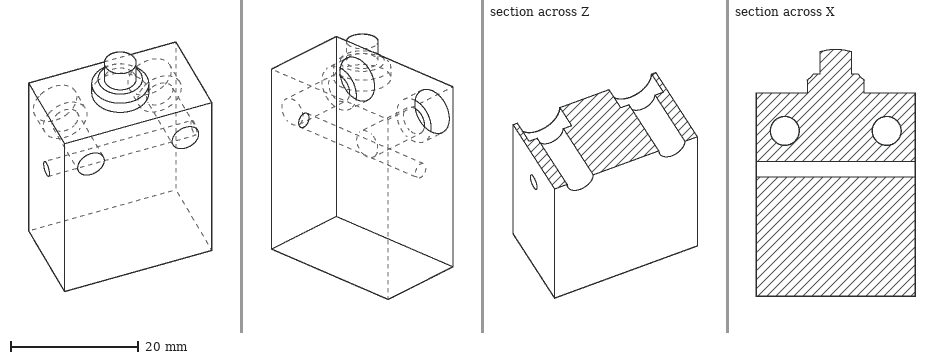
import cadquery as cq

body_width = 15.0
body_depth = 25.0
body_height = 32.0

collar_diameter = 9.0
collar_height = 3.0
collar_chamfer = 1.0

plunger_diameter = 5.0
total_height = 38.88
dome_height = 0.4

mount_diameter = 4.5
counterbore_diameter = 7.4
counterbore_depth = 4.2
mount_spacing = 16.0
mount_height = 26.0

cross_diameter = 2.4
cross_height = 20.0


def make_body():
    """Block standing on Z = 0, centred on the Z axis."""
    return cq.Workplane("XY").box(body_width, body_depth, body_height, centered=(True, True, False))


def make_collar():
    """Short cylinder on top of the block with a chamfered upper rim."""
    top_face = cq.Workplane("XY", origin=(0, 0, body_height))
    collar = top_face.circle(collar_diameter / 2).extrude(collar_height)
    return collar.faces(">Z").chamfer(collar_chamfer)


def make_plunger():
    """Pin rising out of the collar, revolved about Z so its tip is a shallow spherical dome."""
    radius = plunger_diameter / 2
    shoulder = total_height - dome_height
    dome_radius = (radius**2 + dome_height**2) / (2 * dome_height)
    arc_middle_x = radius / 2
    arc_middle_z = total_height - dome_radius + (dome_radius**2 - arc_middle_x**2) ** 0.5
    profile = (
        cq.Workplane("XZ")
        .moveTo(0, body_height)
        .lineTo(radius, body_height)
        .lineTo(radius, shoulder)
        .threePointArc((arc_middle_x, arc_middle_z), (0, total_height))
        .close()
    )
    return profile.revolve(360, (0, 0, 0), (0, 1, 0))


def make_mounting_hole(y):
    """Cutter along X: through hole plus a counterbore entering from the -X face."""
    face = cq.Workplane("YZ", origin=(-body_width / 2, y, mount_height))
    through = face.circle(mount_diameter / 2).extrude(body_width)
    counterbore = face.circle(counterbore_diameter / 2).extrude(counterbore_depth)
    return through.union(counterbore)


def make_cross_hole():
    """Cutter along Y through the middle of the block."""
    start = cq.Workplane("XZ", origin=(0, body_depth / 2, cross_height))
    return start.circle(cross_diameter / 2).extrude(body_depth)


result = make_body().union(make_collar()).union(make_plunger())
for side in (-1, 1):
    result = result.cut(make_mounting_hole(side * mount_spacing / 2))
result = result.cut(make_cross_hole())